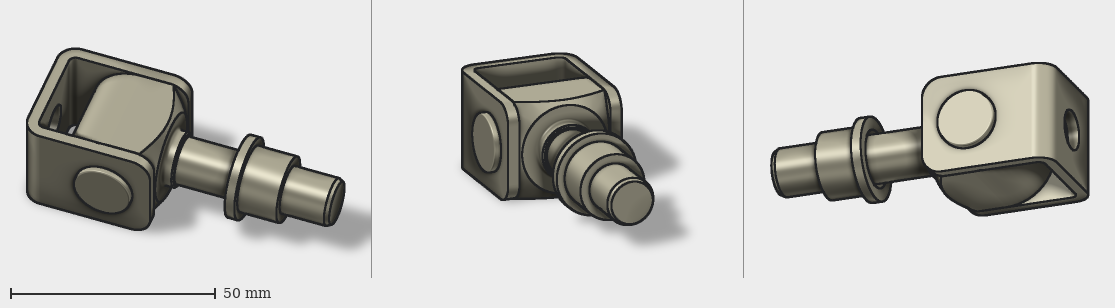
import cadquery as cq
import math

strap_length = 33.4
strap_width = 30.0
strap_height = 25.0
strap_thickness = 3.0
bend_outer_radius = 4.75
bend_inner_radius = bend_outer_radius - strap_thickness
strap_corner_radius = 5.0
mounting_hole_diameter = 10.0

pin_x = 21.5
pin_diameter = 14.8
pin_length = 33.4
pin_edge_radius = 0.45

block_radius = strap_height / 2
block_side_clearance = 0.1
block_width = strap_width - 2 * (strap_thickness + block_side_clearance)
block_end_x = 33.4
block_end_radius = 11.3
block_cone_slope = 1.56
collar_diameter = 14.1
collar_end_x = 36.5
collar_root_radius = 0.9
collar_edge_chamfer = 0.45
shank_diameter = 12.2
shank_end_x = 76.5
shank_chamfer_length = 1.15
shank_chamfer_depth = 0.6

flange_x = 51.2
flange_diameter = 21.0
flange_thickness = 2.5
hub_diameter = 16.9
nut_length = 12.7
nut_bore_diameter = shank_diameter
nut_countersink_diameter = 14.5


def cylinder_along_x(start_x, length, diameter):
    return cq.Workplane("YZ", origin=(start_x, 0, 0)).circle(diameter / 2).extrude(length)


def cylinder_along_y(center_x, length, diameter):
    section = cq.Workplane("XZ", origin=(center_x, 0, 0)).circle(diameter / 2)
    return section.extrude(length / 2, both=True)


def make_bracket():
    outside = (
        cq.Workplane("XY")
        .box(strap_length, strap_width, strap_height, centered=(False, True, True))
        .edges("|Z and <X")
        .fillet(bend_outer_radius)
        .edges("|Y and >X")
        .fillet(strap_corner_radius)
    )
    inside = (
        cq.Workplane("XY", origin=(strap_thickness, 0, 0))
        .box(strap_length, strap_width - 2 * strap_thickness, strap_height, centered=(False, True, True))
        .edges("|Z and <X")
        .fillet(bend_inner_radius)
    )
    mounting_hole = cylinder_along_x(0, strap_thickness, mounting_hole_diameter)
    pin_hole = cylinder_along_y(pin_x, strap_width, pin_diameter)
    return outside.cut(inside).cut(mounting_hole).cut(pin_hole)


def make_pin():
    return cylinder_along_y(pin_x, pin_length, pin_diameter).faces("<Y or >Y").edges().fillet(pin_edge_radius)


def make_swivel_block():
    round_end = cylinder_along_y(pin_x, block_width, 2 * block_radius)
    square_end = cq.Workplane("XY", origin=(pin_x, 0, 0)).box(
        block_end_x - pin_x, block_width, 2 * block_radius, centered=(False, True, True)
    )
    cone_start_x = pin_x - block_radius
    cone_start_radius = block_end_radius + block_cone_slope * (block_end_x - cone_start_x)
    cone = (
        cq.Workplane("XY")
        .moveTo(cone_start_x, 0)
        .lineTo(cone_start_x, cone_start_radius)
        .lineTo(block_end_x, block_end_radius)
        .lineTo(block_end_x, 0)
        .close()
        .revolve(360, (0, 0, 0), (1, 0, 0))
    )
    return round_end.union(square_end).intersect(cone)


def make_collar_and_shank():
    collar_radius = collar_diameter / 2
    shank_radius = shank_diameter / 2
    root_arc_middle = collar_root_radius * (1 - math.sqrt(0.5))
    return (
        cq.Workplane("XY")
        .moveTo(block_end_x, 0)
        .lineTo(block_end_x, collar_radius + collar_root_radius)
        .threePointArc(
            (block_end_x + root_arc_middle, collar_radius + root_arc_middle),
            (block_end_x + collar_root_radius, collar_radius),
        )
        .lineTo(collar_end_x - collar_edge_chamfer, collar_radius)
        .lineTo(collar_end_x, collar_radius - collar_edge_chamfer)
        .lineTo(collar_end_x, shank_radius)
        .lineTo(shank_end_x - shank_chamfer_length, shank_radius)
        .lineTo(shank_end_x, shank_radius - shank_chamfer_depth)
        .lineTo(shank_end_x, 0)
        .close()
        .revolve(360, (0, 0, 0), (1, 0, 0))
    )


def make_eye_bolt():
    pin_hole = cylinder_along_y(pin_x, block_width, pin_diameter)
    return make_swivel_block().union(make_collar_and_shank()).cut(pin_hole)


def make_flanged_nut():
    flange = cylinder_along_x(flange_x, flange_thickness, flange_diameter)
    hub = cylinder_along_x(flange_x, nut_length, hub_diameter)
    bore = cylinder_along_x(flange_x, nut_length, nut_bore_diameter)
    countersink_depth = (nut_countersink_diameter - nut_bore_diameter) / 2
    bored_nut = flange.union(hub).cut(bore)
    bore_edge_selector = cq.selectors.RadiusNthSelector(0)
    return bored_nut.faces("<X").edges(bore_edge_selector).chamfer(countersink_depth)


bracket = make_bracket()
pin = make_pin()
eye_bolt = make_eye_bolt()
flanged_nut = make_flanged_nut()

result = cq.Compound.makeCompound([bracket.val(), pin.val(), eye_bolt.val(), flanged_nut.val()])